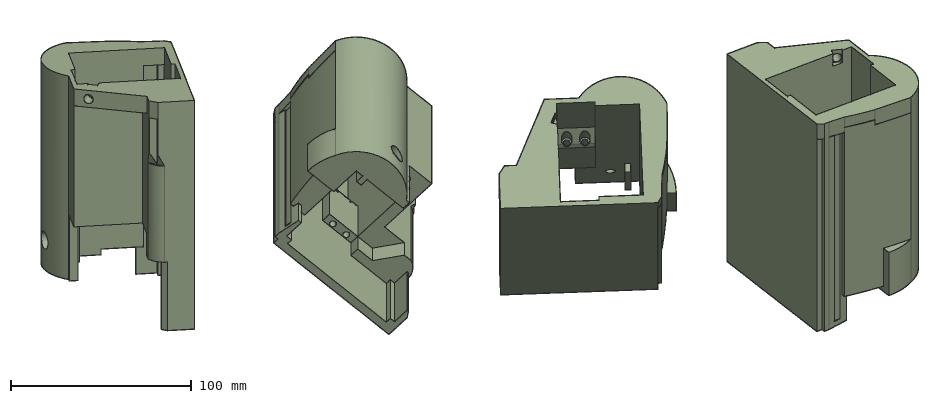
import cadquery as cq
import math

TILT = 10.5

SHAFT_WIDTH = 45.9
SHAFT_DEPTH = 53.7
WALL = 4.9
HEIGHT = 136.7
LID_BOTTOM = 126.5
RIGHT_END = 79.3
BACK = WALL
BACK_CHAMFER_X = -7.9
BACK_CHAMFER_Y = 1.4
FRONT = -SHAFT_DEPTH - WALL

BARREL_BOTTOM = 15.0
SIDE_WALL_BOTTOM = 18.5
SKIRT_TOP = 43.5
BLOCK_BOTTOM = 41.0
FRONT_WALL_BOTTOM = 54.3

BARREL_X = 10.7
BARREL_Y = -41.1
BARREL_RADIUS = 29.2
BARREL_LEFT = (-15.3, -53.3)
BARREL_RIGHT = (33.5, FRONT)
BARREL_MID = (
    BARREL_X + BARREL_RADIUS * math.sin(math.radians(TILT)),
    BARREL_Y - BARREL_RADIUS * math.cos(math.radians(TILT)),
)
BARREL_WALL_END = 35.5
SIDE_WALL_TOP = 129.8
SIDE_WALL_BACK = (-10.8, -11.8)
SIDE_WALL_MID = (-13.8, -30.0)
SIDE_WALL_BREAK = (-14.2, -30.0)
LID_SIDE_MID = (-13.1, -22.1)
SKIRT_BACK = (-19.7, -35.4)
SKIRT_BULGE = (-18.6, -44.8)

RAIL_STEP = (-10.1, -1.9)
RAIL_OUTER = -7.8
RAIL_INNER = -5.6
RAIL_ROOT = -3.3
RAIL_END = -15.2
RAIL_SLOT_RIGHT = -1.9
GROOVE_FLOOR = -8.6
GROOVE_FRONT = -10.1
GROOVE_BACK = -5.9
GROOVE_BOTTOM = 3.4

FLANGE_ROOT = 72.7
FLANGE_INNER = 75.9
FLANGE_END = -13.4
FLANGE_TIP = (77.1, -13.3)
FLANGE_CHAMFER_BACK = -10.1

BLOCK_FRONT = -20.2
LID_CORNER = (52.6, FRONT)
LID_INNER_CORNER = (69.5, BLOCK_FRONT)
CHAMFER_START = (76.1, BLOCK_FRONT)
CHAMFER_END = (RIGHT_END, -15.6)
ROUND_START = (72.5, BLOCK_FRONT)
ROUND_MID = (76.8, -17.2)
ROUND_END = (RIGHT_END, -11.9)
ROUND_TOP = 98.4
ROUND_FADE_TOP = 105.2
CORNER_STEP_LEFT = 76.4
NOTCH_BACK_RIGHT = 57.0
NOTCH_FRONT_RIGHT = 67.5

LEDGE_LEFT = 24.6
LEDGE_TOP = 97.0
LEDGE_BREAK = 88.8
LEDGE_LIP = 86.4
LEDGE_RECESS = 2.2
LEDGE_BREAK_REACH = 4.4
LEDGE_REACH = 5.6
LEDGE_HOLE_XS = (30.3, 40.5)
LEDGE_HOLE_INSET = 2.2
LEDGE_HOLE_DIAMETER = 3.7
LEDGE_BORE_DIAMETER = 5.9
LEDGE_BORE_FLOOR = 85.4


def prism(points, bottom, top):
    """Straight-sided prism on a closed outline."""
    return cq.Workplane("XY").workplane(offset=bottom).polyline(points).close().extrude(top - bottom)


def block(left, right, front, back, bottom, top):
    """Axis-aligned box given by its six faces."""
    size = (right - left, back - front, top - bottom)
    return cq.Workplane("XY").box(*size, centered=False).translate((left, front, bottom))


def lid():
    """Top band that carries the full outline."""
    outline = (
        cq.Workplane("XY")
        .workplane(offset=LID_BOTTOM)
        .moveTo(BACK_CHAMFER_X, BACK)
        .lineTo(RAIL_STEP[0], BACK_CHAMFER_Y)
        .lineTo(*RAIL_STEP)
        .lineTo(*SIDE_WALL_BACK)
        .threePointArc(LID_SIDE_MID, SIDE_WALL_BREAK)
        .lineTo(*BARREL_LEFT)
        .threePointArc(BARREL_MID, BARREL_RIGHT)
        .lineTo(*LID_CORNER)
        .lineTo(*LID_INNER_CORNER)
        .lineTo(*CHAMFER_START)
        .lineTo(*CHAMFER_END)
        .lineTo(RIGHT_END, BACK)
        .close()
    )
    side_relief = block(
        SIDE_WALL_BREAK[0] - 1.4, 0, SIDE_WALL_BREAK[1], SIDE_WALL_BACK[1], LID_BOTTOM, SIDE_WALL_TOP
    )
    return outline.extrude(HEIGHT - LID_BOTTOM).cut(side_relief)


def barrel():
    """Round body, its left side wall and the short skirt at its foot."""
    side_and_barrel = (
        cq.Workplane("XY")
        .workplane(offset=BARREL_BOTTOM)
        .moveTo(0, SIDE_WALL_BACK[1])
        .lineTo(*SIDE_WALL_BACK)
        .threePointArc(SIDE_WALL_MID, BARREL_LEFT)
        .threePointArc(BARREL_MID, BARREL_RIGHT)
        .lineTo(BARREL_WALL_END, FRONT)
        .lineTo(BARREL_WALL_END, -SHAFT_DEPTH)
        .lineTo(0, -SHAFT_DEPTH)
        .close()
        .extrude(SIDE_WALL_TOP - BARREL_BOTTOM)
    )
    shoulder = block(SKIRT_BACK[0], 0, BARREL_LEFT[1], SIDE_WALL_BREAK[1], LID_BOTTOM, SIDE_WALL_TOP)
    foot_relief = block(SKIRT_BACK[0], 0, SKIRT_BACK[1], 0, 0, SIDE_WALL_BOTTOM)
    skirt = (
        cq.Workplane("XY")
        .workplane(offset=BARREL_BOTTOM)
        .moveTo(*SKIRT_BACK)
        .threePointArc(SKIRT_BULGE, BARREL_LEFT)
        .lineTo(0, BARREL_LEFT[1])
        .lineTo(0, SKIRT_BACK[1])
        .close()
        .extrude(SKIRT_TOP - BARREL_BOTTOM)
    )
    return side_and_barrel.cut(foot_relief).cut(shoulder).union(skirt)


def back_wall():
    """Full-height back wall with a grooved rail on its left end and a flange on its right."""
    outline = [
        (BACK_CHAMFER_X, BACK),
        (BACK_CHAMFER_X, BACK_CHAMFER_Y),
        (RAIL_STEP[0], BACK_CHAMFER_Y),
        RAIL_STEP,
        (RAIL_OUTER, RAIL_END),
        (RAIL_INNER, RAIL_END),
        (RAIL_INNER, RAIL_ROOT),
        (RAIL_SLOT_RIGHT, RAIL_ROOT),
        (RAIL_SLOT_RIGHT, 0),
        (FLANGE_ROOT, 0),
        (FLANGE_ROOT, RAIL_ROOT),
        (FLANGE_INNER, RAIL_ROOT),
        (FLANGE_INNER, FLANGE_END),
        FLANGE_TIP,
        (RIGHT_END, FLANGE_CHAMFER_BACK),
        (RIGHT_END, BACK),
    ]
    groove = block(RAIL_STEP[0], GROOVE_FLOOR, GROOVE_FRONT, GROOVE_BACK, GROOVE_BOTTOM, LID_BOTTOM)
    return prism(outline, 0, LID_BOTTOM).cut(groove)


def right_block():
    """Solid block beside the shaft, with its rounded corner and bottom notch."""
    body = prism(
        [(SHAFT_WIDTH, BACK), (SHAFT_WIDTH, BLOCK_FRONT), CHAMFER_START, CHAMFER_END, (RIGHT_END, BACK)],
        BLOCK_BOTTOM,
        LID_BOTTOM,
    )
    corner = (RIGHT_END + 1.4, BLOCK_FRONT - 1.4)
    rounding = (
        cq.Workplane("XY")
        .workplane(offset=BLOCK_BOTTOM)
        .moveTo(*ROUND_START)
        .threePointArc(ROUND_MID, ROUND_END)
        .lineTo(corner[0], ROUND_END[1])
        .lineTo(*corner)
        .lineTo(ROUND_START[0], corner[1])
        .close()
        .extrude(ROUND_TOP - BLOCK_BOTTOM)
    )
    fade = (
        cq.Workplane("XY")
        .workplane(offset=ROUND_TOP)
        .polyline([ROUND_START, ROUND_END, corner])
        .close()
        .workplane(offset=ROUND_FADE_TOP - ROUND_TOP)
        .polyline([CHAMFER_START, CHAMFER_END, corner])
        .close()
        .loft(ruled=True)
    )
    corner_step = block(CORNER_STEP_LEFT, corner[0], corner[1], CHAMFER_END[1], ROUND_TOP, LID_BOTTOM)
    notch = prism(
        [
            (SHAFT_WIDTH, -LEDGE_REACH),
            (NOTCH_BACK_RIGHT, -LEDGE_REACH),
            (NOTCH_FRONT_RIGHT, BLOCK_FRONT),
            (SHAFT_WIDTH, BLOCK_FRONT),
        ],
        BLOCK_BOTTOM,
        FRONT_WALL_BOTTOM,
    )
    return body.cut(rounding).cut(fade).cut(corner_step).cut(notch)


def shaft_walls():
    """Thin front and right walls of the shaft."""
    front = block(BARREL_RIGHT[0], LID_CORNER[0], FRONT, -SHAFT_DEPTH, FRONT_WALL_BOTTOM, LID_BOTTOM)
    right = block(SHAFT_WIDTH, LID_CORNER[0], FRONT, BLOCK_FRONT, FRONT_WALL_BOTTOM, LID_BOTTOM)
    return front.union(right)


def ledge_profile(points):
    """Extrude a (y, z) section over the width of a ledge."""
    width = SHAFT_WIDTH - LEDGE_LEFT
    return cq.Workplane("YZ").workplane(offset=LEDGE_LEFT).polyline(points).close().extrude(width)


def add_ledge(part, wall_y, inward):
    """Sloped screw ledge under a shallow recess in one shaft wall."""
    recess_y = wall_y - inward * LEDGE_RECESS
    break_y = wall_y + inward * LEDGE_BREAK_REACH
    tip_y = wall_y + inward * LEDGE_REACH
    recess = ledge_profile(
        [(recess_y, LEDGE_TOP), (recess_y, HEIGHT), (break_y, HEIGHT), (break_y, LEDGE_BREAK)]
    )
    ledge = ledge_profile(
        [
            (recess_y, FRONT_WALL_BOTTOM),
            (recess_y, LEDGE_TOP),
            (break_y, LEDGE_BREAK),
            (tip_y, LEDGE_LIP),
            (tip_y, FRONT_WALL_BOTTOM),
        ]
    )
    centres = [(x, wall_y + inward * LEDGE_HOLE_INSET) for x in LEDGE_HOLE_XS]
    holes = cq.Workplane("XY").pushPoints(centres).circle(LEDGE_HOLE_DIAMETER / 2).extrude(HEIGHT)
    bores = (
        cq.Workplane("XY")
        .workplane(offset=LEDGE_BORE_FLOOR)
        .pushPoints(centres)
        .circle(LEDGE_BORE_DIAMETER / 2)
        .extrude(HEIGHT - LEDGE_BORE_FLOOR)
    )
    return part.cut(recess).union(ledge).cut(holes).cut(bores)


def locating_rib():
    """Small rib at the foot of the front shaft wall."""
    left = 4.9
    right = 8.2
    tip = -48.8
    return block(left, right, -SHAFT_DEPTH, tip, BARREL_BOTTOM, SKIRT_TOP)


def barrel_screw():
    """Counterbored screw hole through the barrel into the shaft."""
    x = 16.1
    z = 32.4
    hole_diameter = 5.5
    bore_diameter = 10.1
    bore_floor = -66.1
    outside = -75.2
    hole = cq.Workplane("XZ", origin=(x, -SHAFT_DEPTH, z)).circle(hole_diameter / 2)
    bore = cq.Workplane("XZ", origin=(x, bore_floor, z)).circle(bore_diameter / 2)
    return hole.extrude(-SHAFT_DEPTH - outside).union(bore.extrude(bore_floor - outside))


def lid_wire_hole():
    """Hole through the slanted lid edge, meeting a slot open to the top."""
    position = 0.2
    diameter = 5.3
    slot_width = 5.7
    centre_z = 131.5
    slot_depth = 8.6
    slot_floor = 128.5
    length = 15.0
    run_x = LID_INNER_CORNER[0] - LID_CORNER[0]
    run_y = LID_INNER_CORNER[1] - LID_CORNER[1]
    edge = math.hypot(run_x, run_y)
    inward = cq.Vector(-run_y / edge, run_x / edge, 0)
    mouth = cq.Vector(LID_CORNER[0] + position * run_x, LID_CORNER[1] + position * run_y, centre_z)
    along = cq.Vector(run_x, run_y, 0)
    mouth_plane = cq.Plane(origin=mouth, xDir=along, normal=inward)
    hole = cq.Workplane(mouth_plane).circle(diameter / 2).extrude(length)
    slot_start = mouth + inward * slot_depth + cq.Vector(0, 0, slot_floor - centre_z)
    slot_plane = cq.Plane(origin=slot_start, xDir=along, normal=cq.Vector(0, 0, 1))
    slot = (
        cq.Workplane(slot_plane)
        .center(0, (length - slot_depth) / 2)
        .rect(slot_width, length - slot_depth)
        .extrude(HEIGHT - slot_floor)
    )
    return hole.union(slot)


body = lid().union(back_wall()).union(barrel()).union(right_block()).union(shaft_walls())
body = body.cut(block(0, SHAFT_WIDTH, -SHAFT_DEPTH, 0, 0, HEIGHT))
body = add_ledge(body, 0, -1)
body = add_ledge(body, -SHAFT_DEPTH, 1)
body = body.union(locating_rib())
body = body.cut(barrel_screw()).cut(lid_wire_hole())

result = body.rotate((0, 0, 0), (0, 0, 1), -TILT)